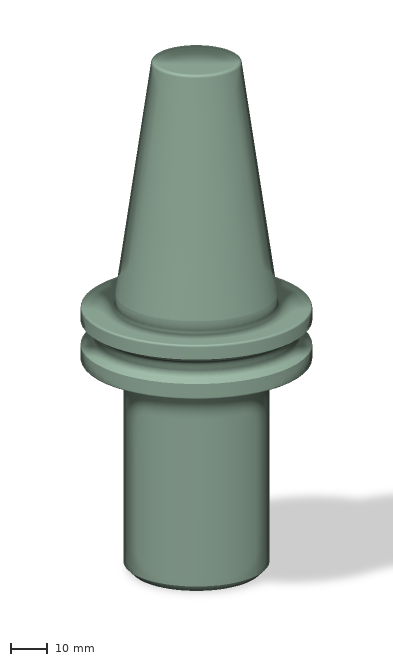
import cadquery as cq
import math

total_height = 148.2
taper_length = 68.0
neck_height = 3.5
neck_corner_round = 0.9
flange_width = 15.9

gauge_radius = 22.2
taper_ratio = 7 / 24
tip_round = 0.9

flange_radius = 31.7
flange_edge_round = 0.6
upper_rim_width = 4.2
groove_mouth = 7.1
groove_root_radius = 28.0
groove_wall_angle = 30.0
groove_root_round = 0.7

shank_radius = 20.0
shank_chamfer = 2.0
shank_corner_round = 0.6

gauge_z = total_height - taper_length
flange_top = gauge_z - neck_height
flange_bottom = flange_top - flange_width
tip_radius = gauge_radius - taper_length * taper_ratio / 2
groove_top = flange_top - upper_rim_width
groove_bottom = groove_top - groove_mouth
groove_wall_drop = (flange_radius - groove_root_radius) * math.tan(math.radians(groove_wall_angle))


def edges_at(body, radius, heights):
    """Return the circular edges of the given radius at the given heights."""
    tolerance = 0.001
    return body.edges("%CIRCLE").filter(
        lambda edge: abs(edge.radius() - radius) < tolerance
        and any(abs(edge.Center().z - z) < tolerance for z in heights)
    )


profile = (
    cq.Workplane("XZ")
    .moveTo(0, 0)
    .lineTo(shank_radius - shank_chamfer, 0)
    .lineTo(shank_radius, shank_chamfer)
    .lineTo(shank_radius, flange_bottom)
    .lineTo(flange_radius, flange_bottom)
    .lineTo(flange_radius, groove_bottom)
    .lineTo(groove_root_radius, groove_bottom + groove_wall_drop)
    .lineTo(groove_root_radius, groove_top - groove_wall_drop)
    .lineTo(flange_radius, groove_top)
    .lineTo(flange_radius, flange_top)
    .lineTo(gauge_radius, flange_top)
    .lineTo(gauge_radius, gauge_z)
    .lineTo(tip_radius, total_height)
    .lineTo(0, total_height)
    .close()
)
body = profile.revolve(360, (0, 0, 0), (0, 1, 0))

body = edges_at(body, tip_radius, [total_height]).fillet(tip_round)
body = edges_at(body, flange_radius, [flange_top, flange_bottom]).fillet(flange_edge_round)
groove_root_heights = [groove_bottom + groove_wall_drop, groove_top - groove_wall_drop]
body = edges_at(body, groove_root_radius, groove_root_heights).fillet(groove_root_round)
body = edges_at(body, gauge_radius, [flange_top]).fillet(neck_corner_round)
body = edges_at(body, shank_radius, [flange_bottom]).fillet(shank_corner_round)

result = body